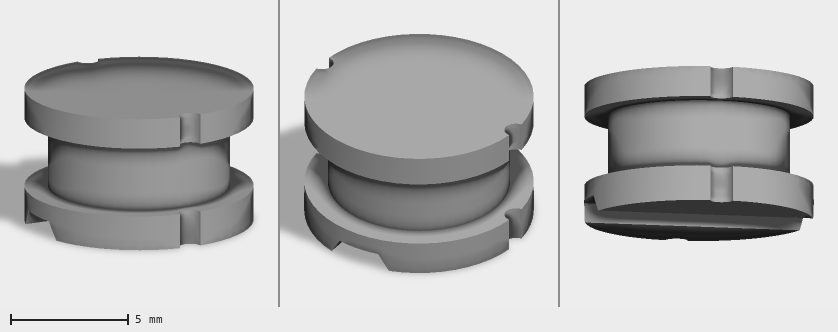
import cadquery as cq

flange_diameter = 9.78
core_diameter = 7.775
base_thickness = 1.5
core_height = 3.0
top_thickness = 1.3

groove_radius = 0.49

channel_depth = 0.75
channel_roof_width = 1.96
channel_mouth_width = 2.89

flange_radius = flange_diameter / 2
total_height = base_thickness + core_height + top_thickness


def disc(diameter, bottom, height):
    """Solid disc on the Z axis, starting at the given height."""
    return cq.Workplane("XY").workplane(offset=bottom).circle(diameter / 2).extrude(height)


def flange(bottom, thickness):
    """Disc with a round groove at each end of its X diameter."""
    grooves = (
        cq.Workplane("XY")
        .workplane(offset=bottom)
        .pushPoints([(-flange_radius, 0), (flange_radius, 0)])
        .circle(groove_radius)
        .extrude(thickness)
    )
    return disc(flange_diameter, bottom, thickness).cut(grooves)


def underside_channel():
    """Trapezoidal prism, wider at the bottom face than at its roof."""
    profile = [
        (-channel_mouth_width / 2, 0),
        (-channel_roof_width / 2, channel_depth),
        (channel_roof_width / 2, channel_depth),
        (channel_mouth_width / 2, 0),
    ]
    return cq.Workplane("XZ").polyline(profile).close().extrude(flange_radius, both=True)


base = flange(0, base_thickness).cut(underside_channel())
core = disc(core_diameter, base_thickness, core_height)
top = flange(total_height - top_thickness, top_thickness)

result = base.union(core).union(top)